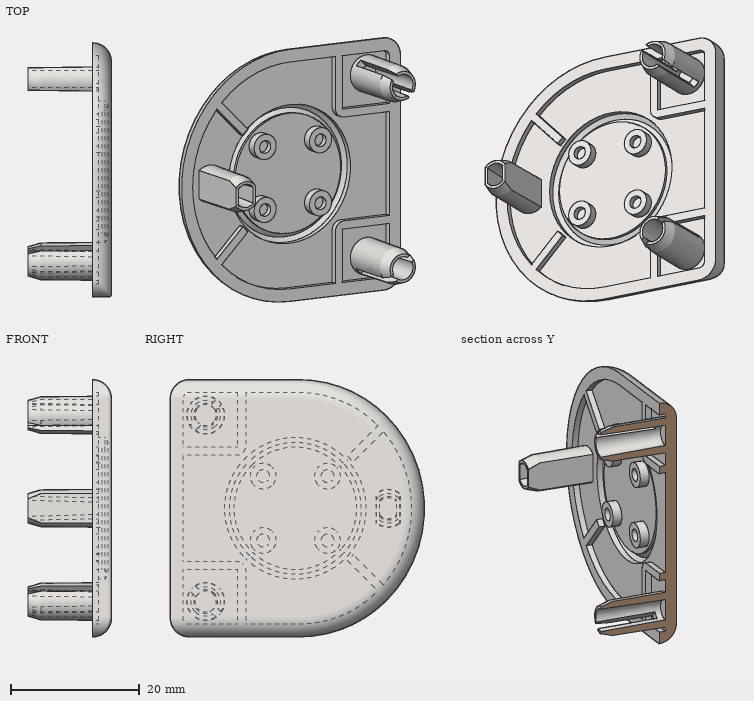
import cadquery as cq
import math

HEIGHT = 40.0
HALF_HEIGHT = HEIGHT / 2
ROUND_END_Y = HALF_HEIGHT
FLAT_END_Y = -19.5
PEG_LENGTH = 10.0
BACK_X = PEG_LENGTH
THICKNESS = 3.0
DOME_RADIUS = THICKNESS
CORNER_RADIUS = 3.0
FLAT_EDGE_RADIUS = 0.5
STRAIGHT_END_Y = 0.5
ARC_JOIN_ANGLE = 45.0

RIM_WIDTH = 2.0
POCKET_DEPTH = 1.0
FLOOR_X = BACK_X + POCKET_DEPTH
RIB_WIDTH = 1.3
RIB_ANGLE = 45.0
RIB_AXIS_Y = 0.8
RIB_RING_GAP = 0.4
CORNER_WALL_Y = -7.75
CORNER_WALL_Z = 8.25
CORNER_WALL_RADIUS = 1.5

GROOVE_OUTER_RADIUS = 11.0
GROOVE_BOTTOM_RADIUS = 10.25
DISC_RADIUS = 9.5
DISC_X = BACK_X + 1.5
GROOVE_WALL_DEPTH = 1.0
GROOVE_CONE_DEPTH = 0.5
RING_Y = -0.1
BOSS_RADIUS = 2.0
BOSS_HOLE_RADIUS = 1.0
BOSS_HOLE_DEPTH = 1.0
BOSS_SPACING = 10.0

PEG_BASE_RADIUS = 2.95
PEG_SHOULDER_RADIUS = 2.9
PEG_TIP_RADIUS = 2.3
PEG_TIP_LENGTH = 2.0
BORE_TIP_RADIUS = 1.85
BORE_BASE_RADIUS = 1.65
SLOT_WIDTH = 1.1
SLOT_DEPTH = 10.0
SLOT_ANGLE = 45.0
CORNER_PEG_Y = -14.0
CORNER_PEG_Z = 14.5
END_PEG_Y = 14.3
END_PEG_BASE_WIDTH = 3.8
END_PEG_TIP_WIDTH = 3.5
END_BORE_WIDTH = 2.7


def outline(flat_y, inset=0.0):
    """Outline across X: straight sides, and a round end of tangent arcs joined at 45 degrees.

    The sides and the round end are moved inward by the inset.
    """
    side_z = HALF_HEIGHT - inset
    rise = STRAIGHT_END_Y * (1 + math.sqrt(0.5))
    side_radius = side_z - rise
    end_y = ROUND_END_Y - inset

    def on_side_arc(angle):
        turn = math.radians(angle)
        return STRAIGHT_END_Y + side_radius * math.cos(turn), rise + side_radius * math.sin(turn)

    def mirrored(point):
        return point[0], -point[1]

    side_middle = on_side_arc((90 + ARC_JOIN_ANGLE) / 2)
    join = on_side_arc(ARC_JOIN_ANGLE)
    return (
        cq.Workplane("YZ")
        .moveTo(flat_y, side_z)
        .lineTo(STRAIGHT_END_Y, side_z)
        .threePointArc(side_middle, join)
        .threePointArc((end_y, 0), mirrored(join))
        .threePointArc(mirrored(side_middle), (STRAIGHT_END_Y, -side_z))
        .lineTo(flat_y, -side_z)
        .close()
    )


def box(x_range, y_range, z_range):
    """Box between the low and high limits given for each axis."""
    sizes = [high - low for low, high in (x_range, y_range, z_range)]
    return cq.Workplane("XY").box(*sizes, centered=False).translate((x_range[0], y_range[0], z_range[0]))


def rounded_prism(length, inset=0.0):
    """Outline with its two flat-end corners rounded, extruded forward from the back of the plate."""
    prism = outline(FLAT_END_Y + inset, inset).extrude(length)
    return prism.edges("|X and <Y").fillet(CORNER_RADIUS - inset).translate((BACK_X, 0, 0))


def plate():
    """Plate with a quarter-round edge, except along the flat end."""
    spare = 4.0
    dome = outline(FLAT_END_Y - spare).extrude(THICKNESS + spare).translate((BACK_X - spare, 0, 0))
    dome = dome.faces(">X").edges("not <Y").fillet(DOME_RADIUS)
    body = dome.intersect(rounded_prism(THICKNESS))
    return body.faces(">X").edges("<Y").fillet(FLAT_EDGE_RADIUS)


def cylinder(radius, x_start, length):
    """Cylinder about the X axis."""
    return cq.Workplane("YZ").circle(radius).extrude(length).translate((x_start, 0, 0))


def turned(profile):
    """Solid of revolution about the X axis from (x, radius) points."""
    return cq.Workplane("XY").polyline(profile).close().revolve(360, (0, 0, 0), (1, 0, 0))


def end_rib(side):
    """Diagonal rib between the round end of the rim and the ring groove; side is 1 or -1 in Z."""
    rib_start = GROOVE_OUTER_RADIUS + RIB_RING_GAP - RIB_AXIS_Y * math.cos(math.radians(RIB_ANGLE))
    rib = box((BACK_X, FLOOR_X), (rib_start, ROUND_END_Y), (-RIB_WIDTH / 2, RIB_WIDTH / 2))
    return rib.rotate((0, 0, 0), (1, 0, 0), side * RIB_ANGLE).translate((0, RIB_AXIS_Y, 0))


def corner_wall(side):
    """L-shaped wall that closes off one corner of the pocket; side is 1 or -1 in Z."""
    x_range = (BACK_X, FLOOR_X)
    outer = box(x_range, (FLAT_END_Y, CORNER_WALL_Y), (CORNER_WALL_Z, HALF_HEIGHT))
    outer = outer.edges("|X and >Y and <Z").fillet(CORNER_WALL_RADIUS)
    inner = box(x_range, (FLAT_END_Y, CORNER_WALL_Y - RIB_WIDTH), (CORNER_WALL_Z + RIB_WIDTH, HALF_HEIGHT))
    wall = outer.cut(inner)
    return wall if side > 0 else wall.mirror("XY")


def pocket():
    """Recess inside the rim, with the ribs and corner walls left standing."""
    recess = rounded_prism(POCKET_DEPTH, RIM_WIDTH)
    for side in (1, -1):
        recess = recess.cut(end_rib(side)).cut(corner_wall(side))
    return recess


def disc_recess():
    """Round recess below the pocket floor, with a groove around a flat disc.

    The groove has straight walls and a V-shaped bottom.
    """
    wall_end_x = FLOOR_X + GROOVE_WALL_DEPTH
    recess = turned(
        [
            (FLOOR_X, 0),
            (FLOOR_X, GROOVE_OUTER_RADIUS),
            (wall_end_x, GROOVE_OUTER_RADIUS),
            (wall_end_x + GROOVE_CONE_DEPTH, GROOVE_BOTTOM_RADIUS),
            (wall_end_x, DISC_RADIUS),
            (DISC_X, DISC_RADIUS),
            (DISC_X, 0),
        ]
    )
    return recess.translate((0, RING_Y, 0))


def bosses():
    """Four hollow bosses on the disc, level with the rim."""
    hole = cylinder(BOSS_HOLE_RADIUS, BACK_X, BOSS_HOLE_DEPTH)
    boss = cylinder(BOSS_RADIUS, BACK_X, DISC_X - BACK_X).cut(hole)
    group = cq.Workplane()
    for y in (-BOSS_SPACING / 2, BOSS_SPACING / 2):
        for z in (-BOSS_SPACING / 2, BOSS_SPACING / 2):
            group = group.add(boss.translate((0, RING_Y + y, z)))
    return group.combine()


def peg_body():
    """Tapered round peg with a conical tip."""
    return turned(
        [
            (0, 0),
            (0, PEG_TIP_RADIUS),
            (PEG_TIP_LENGTH, PEG_SHOULDER_RADIUS),
            (FLOOR_X, PEG_BASE_RADIUS),
            (FLOOR_X, 0),
        ]
    )


def peg_bore():
    """Tapered bore that reaches the pocket floor."""
    return turned([(0, 0), (0, BORE_TIP_RADIUS), (FLOOR_X, BORE_BASE_RADIUS), (FLOOR_X, 0)])


def corner_peg(side):
    """Hollow peg split by a diagonal slot; side is 1 or -1 in Z."""
    slot = box((0, SLOT_DEPTH), (-HEIGHT, HEIGHT), (-SLOT_WIDTH / 2, SLOT_WIDTH / 2))
    slot = slot.rotate((0, 0, 0), (1, 0, 0), side * SLOT_ANGLE)
    peg = peg_body().cut(peg_bore()).cut(slot)
    return peg.translate((0, CORNER_PEG_Y, side * CORNER_PEG_Z))


def end_peg():
    """Hollow peg with two flats facing along Y."""
    flats = (
        cq.Workplane("XY")
        .polyline(
            [
                (0, -END_PEG_TIP_WIDTH / 2),
                (0, END_PEG_TIP_WIDTH / 2),
                (FLOOR_X, END_PEG_BASE_WIDTH / 2),
                (FLOOR_X, -END_PEG_BASE_WIDTH / 2),
            ]
        )
        .close()
        .extrude(HALF_HEIGHT, both=True)
    )
    bore_flats = box((0, FLOOR_X), (-END_BORE_WIDTH / 2, END_BORE_WIDTH / 2), (-HALF_HEIGHT, HALF_HEIGHT))
    peg = peg_body().intersect(flats).cut(peg_bore().intersect(bore_flats))
    return peg.translate((0, END_PEG_Y, 0))


result = plate().cut(pocket()).cut(disc_recess()).union(bosses())
for peg in (corner_peg(1), corner_peg(-1), end_peg()):
    result = result.union(peg)